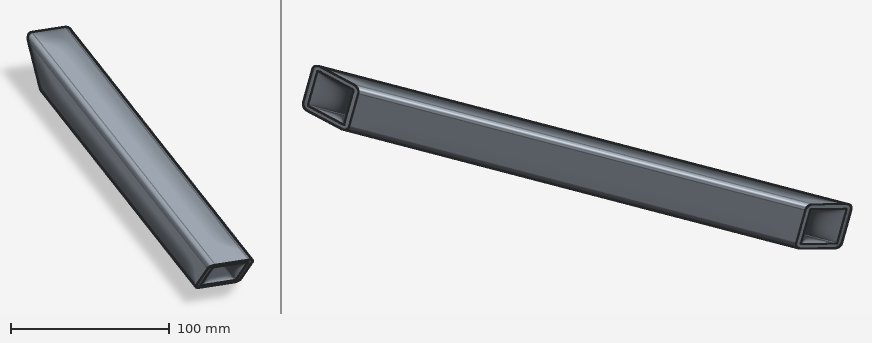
import cadquery as cq
import math

overall_x = 352.0
tube_side = 30.0
wall = 3.0
outer_radius = 4.0
inner_radius = outer_radius - wall
yaw = 5.0
miter_angle = 45.0

top_flat_width = tube_side - 2 * outer_radius
yaw_rad = math.radians(yaw)
top_length = (overall_x - top_flat_width * math.sin(yaw_rad)) / math.cos(yaw_rad)
miter_run = tube_side / math.tan(math.radians(miter_angle))


def rounded_bar(side, radius):
    """Square bar along X, centred on the origin, with rounded long edges."""
    return cq.Workplane("XY").box(top_length, side, side).edges("|X").fillet(radius)


def miter_envelope():
    """Trapezoid seen along Y, longest at the top, that trims both ends."""
    half_top = top_length / 2
    half_bottom = half_top - miter_run
    half_side = tube_side / 2
    outline = [
        (-half_top, half_side),
        (half_top, half_side),
        (half_bottom, -half_side),
        (-half_bottom, -half_side),
    ]
    return cq.Workplane("XZ").polyline(outline).close().extrude(half_side, both=True)


inner_side = tube_side - 2 * wall
tube = rounded_bar(tube_side, outer_radius).cut(rounded_bar(inner_side, inner_radius))
mitered_tube = tube.intersect(miter_envelope())

result = mitered_tube.rotate((0, 0, 0), (0, 0, 1), -yaw)